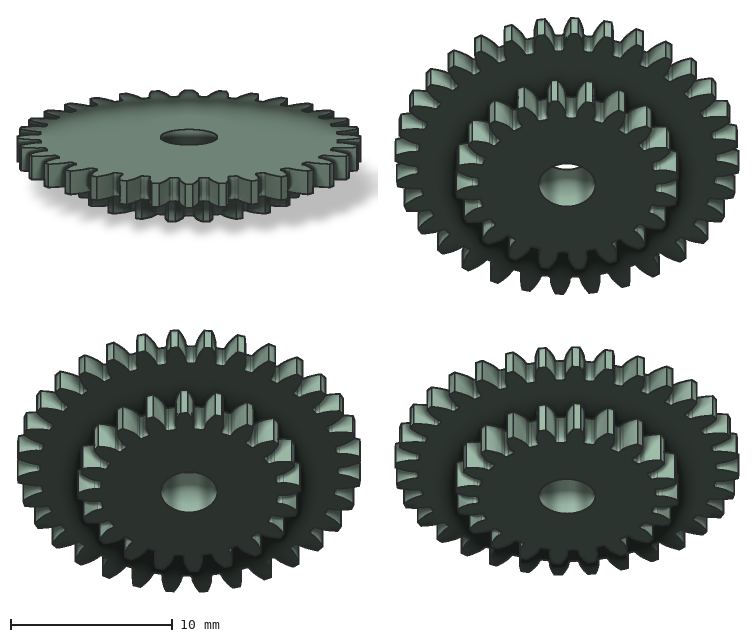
import cadquery as cq
import math

outer_diameter = 21.25
wheel_teeth = 32
pinion_teeth = 20
dedendum_factor = 1.25
pressure_angle = math.radians(20)
wheel_thickness = 1.5
pinion_thickness = 2.0
bore_diameter = 3.5
root_fillet = 0.17
radius_tolerance = 0.01
flank_points = 5
pinion_turn = 360 / pinion_teeth / 4

module = outer_diameter / (wheel_teeth + 2)
dedendum = dedendum_factor * module


def involute_offset(angle):
    """Polar angle of an involute at the given pressure angle."""
    return math.tan(angle) - angle


def polar(radius, angle):
    return (radius * math.cos(angle), radius * math.sin(angle))


def spur_gear(teeth, thickness):
    """Involute gear standing on Z = 0, with a tooth centred on +X."""
    pitch_radius = module * teeth / 2
    base_radius = pitch_radius * math.cos(pressure_angle)
    tip_radius = pitch_radius + module
    root_radius = pitch_radius - dedendum
    pitch_step = 2 * math.pi / teeth
    base_half_angle = pitch_step / 4 + involute_offset(pressure_angle)

    flank = []
    for i in range(flank_points):
        radius = base_radius + (tip_radius - base_radius) * i / (flank_points - 1)
        roll = math.acos(base_radius / radius)
        flank.append((radius, base_half_angle - involute_offset(roll)))

    outline = cq.Workplane("XY").moveTo(*polar(root_radius, -base_half_angle))
    for tooth in range(teeth):
        centre = tooth * pitch_step
        rising = [polar(radius, centre - half) for radius, half in flank]
        falling = [polar(radius, centre + half) for radius, half in reversed(flank)]
        next_root = centre + pitch_step - base_half_angle

        outline = outline.lineTo(*rising[0])
        outline = outline.spline(rising[1:], includeCurrent=True)
        outline = outline.threePointArc(polar(tip_radius, centre), falling[0])
        outline = outline.spline(falling[1:], includeCurrent=True)
        outline = outline.lineTo(*polar(root_radius, centre + base_half_angle))
        outline = outline.threePointArc(
            polar(root_radius, centre + pitch_step / 2),
            polar(root_radius, next_root),
        )
    gear = outline.close().extrude(thickness)

    def on_root_circle(edge):
        middle = edge.Center()
        return abs(math.hypot(middle.x, middle.y) - root_radius) < radius_tolerance

    return gear.edges("|Z").filter(on_root_circle).fillet(root_fillet)


pinion = spur_gear(pinion_teeth, pinion_thickness)
pinion = pinion.rotate((0, 0, 0), (0, 0, 1), pinion_turn)
wheel = spur_gear(wheel_teeth, wheel_thickness).translate((0, 0, pinion_thickness))
bore = cq.Workplane("XY").circle(bore_diameter / 2).extrude(pinion_thickness + wheel_thickness)

result = pinion.union(wheel).cut(bore)